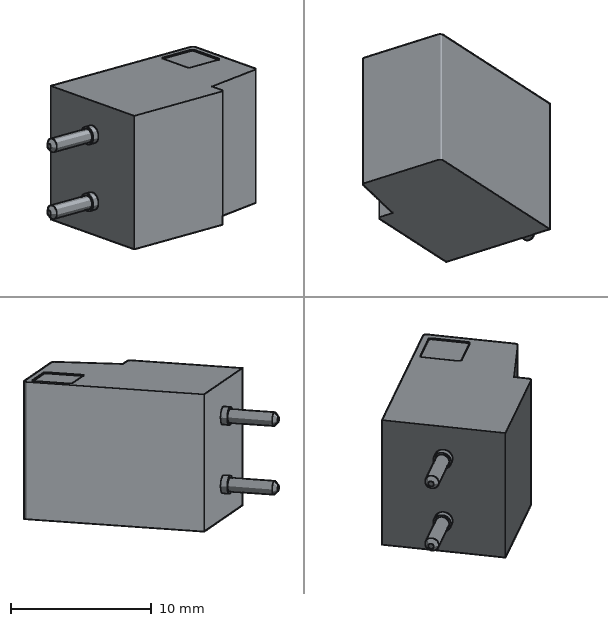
import cadquery as cq

width = 9.0
height = 10.0
total_length = 17.6
pin_length = 4.1
depth = total_length - pin_length

step_depth = 5.0
back_width = 6.85
step_width = 7.7
corner_radius = 0.26

recess_size = 3.0
recess_margin = 0.5
recess_depth = 0.1
recess_radius = 0.2

pin_pitch = height / 2
pin_diameter = 1.0
collar_diameter = 1.3
collar_length = 0.5
tip_diameter = 0.4
tip_length = (pin_diameter - tip_diameter) / 2


def make_housing():
    """Extruded outline with its front face on y = 0 and its base on z = 0."""
    shoulder_y = depth - step_depth
    outline = [
        (0, 0),
        (width, 0),
        (width, shoulder_y),
        (step_width, shoulder_y),
        (back_width, depth),
        (0, depth),
    ]
    rounded_corners = [(width, shoulder_y), (back_width, depth), (0, depth)]
    housing = cq.Workplane("XY").polyline(outline).close().extrude(height)
    for x, y in rounded_corners:
        nearest_edge = cq.selectors.NearestToPointSelector((x, y, height / 2))
        housing = housing.edges("|Z").edges(nearest_edge).fillet(corner_radius)
    return housing


def make_recess():
    """Rounded square cutter near the back left corner of the top face."""
    center_offset = recess_margin + recess_size / 2
    return (
        cq.Workplane("XY", origin=(center_offset, depth - center_offset, height))
        .rect(recess_size, recess_size)
        .extrude(-recess_depth)
        .edges("|Z")
        .fillet(recess_radius)
    )


def make_pin(z):
    """Collared pin with a 45 degree tip, pointing towards -Y."""
    front_plane = cq.Workplane("XZ", origin=(width / 2, 0, z))
    collar = front_plane.circle(collar_diameter / 2).extrude(collar_length)
    shaft = front_plane.circle(pin_diameter / 2).extrude(pin_length).faces("<Y").chamfer(tip_length)
    return collar.union(shaft)


result = make_housing().cut(make_recess())
for side in (-1, 1):
    result = result.union(make_pin(height / 2 + side * pin_pitch / 2))